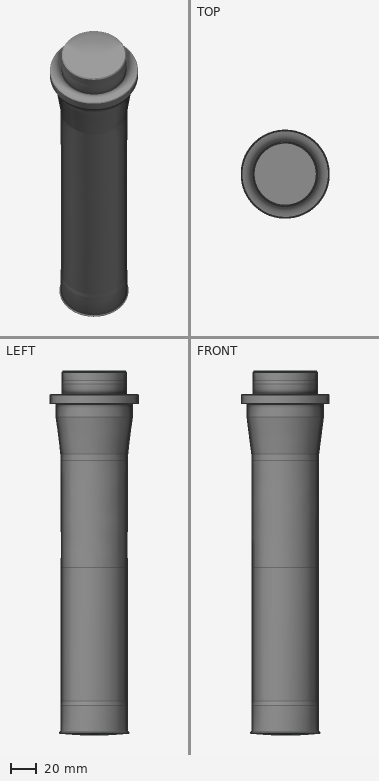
import cadquery as cq
import math

TOTAL_HEIGHT = 281.0
STEP_TOP_Z = 273.7
STEP_BOTTOM_Z = 271.1
FLANGE_TOP_Z = 263.0
FLANGE_BOTTOM_Z = 256.0
COLLAR_BOTTOM_Z = 245.5
TAPER_BOTTOM_Z = 217.2
WAIST_TOP_Z = 211.9
WAIST_BOTTOM_Z = 129.5
TUBE_BOTTOM_Z = 26.5
FOOT_TOP_Z = 23.0
DOME_EDGE_Z = 1.5

STUB_DIAMETER = 50.0
TIP_DIAMETER = 49.7
FLANGE_DIAMETER = 68.0
COLLAR_DIAMETER = 59.0
NECK_DIAMETER = 51.7
TUBE_DIAMETER = 51.0

STUB_CHAMFER = 0.8
FLANGE_CHAMFER = 0.5
COLLAR_CHAMFER = 0.8
LIP_ROUND = 0.5
LIP_FILLET = 0.3

STUB_RADIUS = STUB_DIAMETER / 2
TIP_RADIUS = TIP_DIAMETER / 2
FLANGE_RADIUS = FLANGE_DIAMETER / 2
COLLAR_RADIUS = COLLAR_DIAMETER / 2
NECK_RADIUS = NECK_DIAMETER / 2
TUBE_RADIUS = TUBE_DIAMETER / 2
DOME_EDGE_RADIUS = NECK_RADIUS + LIP_FILLET


def revolve_about_z(profile):
    """Turn a closed half profile (radius, height) around the Z axis."""
    return profile.revolve(360, (0, 0, 0), (0, 1, 0))


def make_cap():
    """Flange carrying a stub that narrows slightly near its tip."""
    profile = (
        cq.Workplane("XZ")
        .moveTo(0, FLANGE_BOTTOM_Z)
        .lineTo(FLANGE_RADIUS, FLANGE_BOTTOM_Z)
        .lineTo(FLANGE_RADIUS, FLANGE_TOP_Z - FLANGE_CHAMFER)
        .lineTo(FLANGE_RADIUS - FLANGE_CHAMFER, FLANGE_TOP_Z)
        .lineTo(STUB_RADIUS, FLANGE_TOP_Z)
        .lineTo(STUB_RADIUS, STEP_BOTTOM_Z)
        .lineTo(TIP_RADIUS, STEP_TOP_Z)
        .lineTo(TIP_RADIUS, TOTAL_HEIGHT - STUB_CHAMFER)
        .lineTo(TIP_RADIUS - STUB_CHAMFER, TOTAL_HEIGHT)
        .lineTo(0, TOTAL_HEIGHT)
        .close()
    )
    return revolve_about_z(profile)


def make_pole():
    """Long pole with a domed foot, a slightly conical waist and a flared collar."""
    dome_radius = (DOME_EDGE_RADIUS**2 + DOME_EDGE_Z**2) / (2 * DOME_EDGE_Z)
    dome_mid_r = DOME_EDGE_RADIUS / 2
    dome_mid_z = dome_radius - math.sqrt(dome_radius**2 - dome_mid_r**2)
    lip_top_z = DOME_EDGE_Z + 2 * LIP_ROUND
    lip_outer_point = (DOME_EDGE_RADIUS + LIP_ROUND, DOME_EDGE_Z + LIP_ROUND)
    fillet_offset = LIP_FILLET * (1 - math.sqrt(0.5))
    fillet_mid_point = (NECK_RADIUS + fillet_offset, lip_top_z + fillet_offset)
    profile = (
        cq.Workplane("XZ")
        .moveTo(0, 0)
        .threePointArc((dome_mid_r, dome_mid_z), (DOME_EDGE_RADIUS, DOME_EDGE_Z))
        .threePointArc(lip_outer_point, (DOME_EDGE_RADIUS, lip_top_z))
        .threePointArc(fillet_mid_point, (NECK_RADIUS, lip_top_z + LIP_FILLET))
        .lineTo(NECK_RADIUS, FOOT_TOP_Z)
        .lineTo(TUBE_RADIUS, TUBE_BOTTOM_Z)
        .lineTo(TUBE_RADIUS, WAIST_BOTTOM_Z)
        .lineTo(NECK_RADIUS, WAIST_TOP_Z)
        .lineTo(NECK_RADIUS, TAPER_BOTTOM_Z)
        .lineTo(COLLAR_RADIUS, COLLAR_BOTTOM_Z)
        .lineTo(COLLAR_RADIUS, FLANGE_BOTTOM_Z - COLLAR_CHAMFER)
        .lineTo(COLLAR_RADIUS - COLLAR_CHAMFER, FLANGE_BOTTOM_Z)
        .lineTo(0, FLANGE_BOTTOM_Z)
        .close()
    )
    return revolve_about_z(profile)


cap = make_cap()
pole = make_pole()
result = cq.Compound.makeCompound([cap.val(), pole.val()])